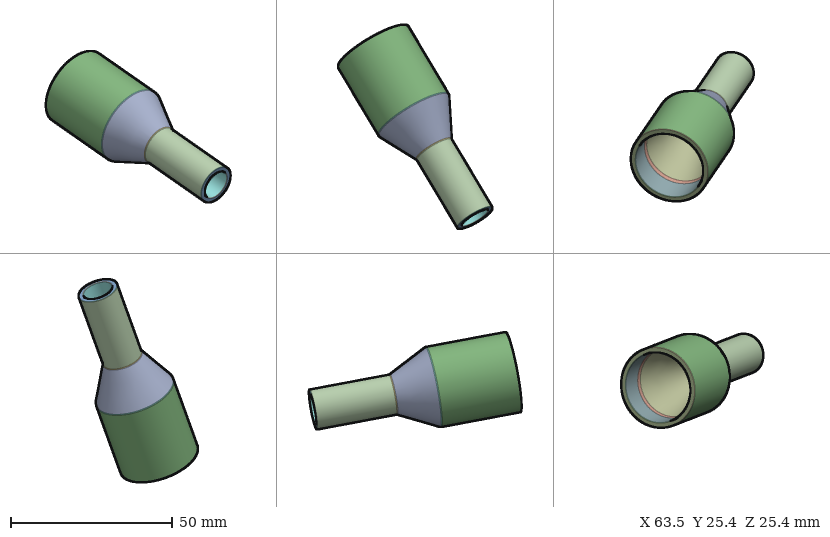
import cadquery as cq

large_diameter = 25.4
small_diameter = 12.7
wall = 1.65
large_length = 25.4
cone_length = 12.7
small_length = 25.4
outer_blend = 0.8
end_round = 0.127

bore_cone_start = 9.525
bore_cone_length = 25.4
bore_blend = 6.35

total_length = large_length + cone_length + small_length


def tapered_body(large_radius, small_radius, cone_start, cone_end, blend):
    """Large cylinder, cone and small cylinder, with both cone edges rounded."""
    outline = (
        cq.Workplane("XY")
        .lineTo(0, large_radius)
        .lineTo(cone_start, large_radius)
        .lineTo(cone_end, small_radius)
        .lineTo(total_length, small_radius)
        .lineTo(total_length, 0)
        .close()
    )
    body = outline.revolve(360, (0, 0, 0), (1, 0, 0))
    half_width = 2 * large_radius
    between_ends = cq.selectors.BoxSelector(
        (cone_start / 2, -half_width, -half_width),
        ((cone_end + total_length) / 2, half_width, half_width),
    )
    return body.edges("%CIRCLE").edges(between_ends).fillet(blend)


outer = tapered_body(
    large_diameter / 2,
    small_diameter / 2,
    large_length,
    large_length + cone_length,
    outer_blend,
)

bore = tapered_body(
    large_diameter / 2 - wall,
    small_diameter / 2 - wall,
    bore_cone_start,
    bore_cone_start + bore_cone_length,
    bore_blend,
)

reducer = outer.cut(bore)

result = reducer.faces("<X or >X").edges().fillet(end_round)